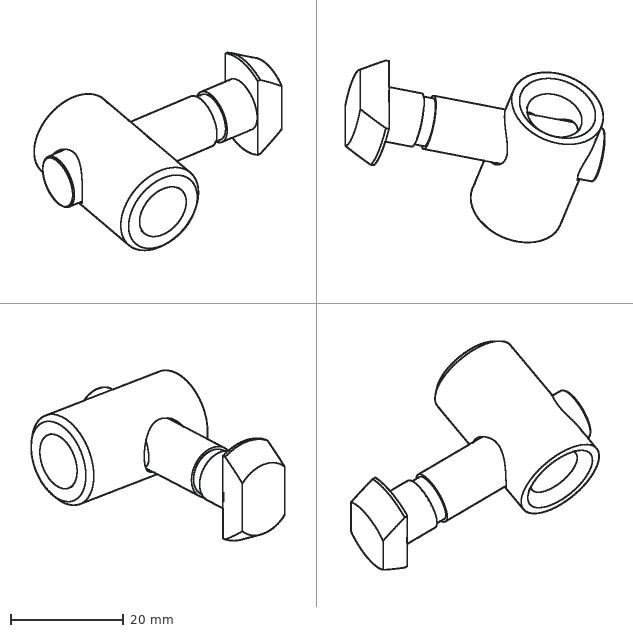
import cadquery as cq
import math

SLEEVE_LENGTH = 27.8
SLEEVE_RADIUS = 8.5
BORE_RADIUS = 5.1
END_CHAMFER = 1.0
COUNTERSINK_RADIUS = 7.05
COUNTERSINK_DEPTH = COUNTERSINK_RADIUS - BORE_RADIUS
CROSS_HOLE_RADIUS = 5.15

BOLT_X = 9.8
BOLT_LENGTH = 45.4
SHANK_RADIUS = 4.85
TAIL_PROJECTION = 1.75
TAIL_Y = -(SLEEVE_RADIUS + TAIL_PROJECTION)
HEAD_TOP_Y = TAIL_Y + BOLT_LENGTH
TAIL_CHAMFER = 0.23

HEAD_THICKNESS = 5.3
HEAD_RIM = 0.6
HEAD_RADIUS = 9.62
HEAD_TOP_RADIUS = 6.9
HEAD_WIDTH = 10.0
HEAD_BASE_Y = HEAD_TOP_Y - HEAD_THICKNESS

GROOVE_WIDTH = 2.22
GROOVE_RADIUS = 4.35
GROOVE_TO_HEAD = 6.55
GROOVE_TOP_Y = HEAD_BASE_Y - GROOVE_TO_HEAD

SEAT_OFFSET = 1.0
SEAT_EDGE_Y = 9.45
SEAT_RADIUS = SEAT_EDGE_Y - SEAT_OFFSET
SEAT_FLANK_ANGLE = 31.5
SEAT_DEPTH = SEAT_RADIUS * math.tan(math.radians(SEAT_FLANK_ANGLE))


def make_sleeve():
    """Tube with a chamfered end, a countersunk bore and a cross hole for the bolt."""
    body = cq.Workplane("YZ").circle(SLEEVE_RADIUS).extrude(SLEEVE_LENGTH)
    body = body.faces(">X").chamfer(END_CHAMFER)
    bore = cq.Workplane("YZ").circle(BORE_RADIUS).extrude(SLEEVE_LENGTH)
    countersink = cq.Solid.makeCone(
        COUNTERSINK_RADIUS, BORE_RADIUS, COUNTERSINK_DEPTH,
        pnt=cq.Vector(0, 0, 0), dir=cq.Vector(1, 0, 0),
    )
    cross_hole = (
        cq.Workplane("XZ").center(BOLT_X, 0).circle(CROSS_HOLE_RADIUS).extrude(SLEEVE_RADIUS, both=True)
    )
    return body.cut(bore).cut(countersink).cut(cross_hole)


def make_bolt_blank():
    """Turned bolt: chamfered tail, grooved shank and tapered round head."""
    profile = [
        (0, TAIL_Y),
        (SHANK_RADIUS - TAIL_CHAMFER, TAIL_Y),
        (SHANK_RADIUS, TAIL_Y + TAIL_CHAMFER),
        (SHANK_RADIUS, GROOVE_TOP_Y - GROOVE_WIDTH),
        (GROOVE_RADIUS, GROOVE_TOP_Y - GROOVE_WIDTH),
        (GROOVE_RADIUS, GROOVE_TOP_Y),
        (SHANK_RADIUS, GROOVE_TOP_Y),
        (SHANK_RADIUS, HEAD_BASE_Y),
        (HEAD_RADIUS, HEAD_BASE_Y),
        (HEAD_RADIUS, HEAD_BASE_Y + HEAD_RIM),
        (HEAD_TOP_RADIUS, HEAD_TOP_Y),
        (0, HEAD_TOP_Y),
    ]
    blank = cq.Workplane("XY").polyline(profile).close().revolve(360, (0, 0, 0), (0, 1, 0))
    return blank.translate((BOLT_X, 0, 0))


def make_bolt():
    """Bolt blank with two flats on the head and a conical seat in the shank."""
    between_flats = cq.Workplane("XY").box(HEAD_WIDTH, 2 * BOLT_LENGTH, 2 * HEAD_RADIUS)
    between_flats = between_flats.translate((BOLT_X, 0, 0))
    seat = cq.Solid.makeCone(
        SEAT_RADIUS, 0, SEAT_DEPTH,
        pnt=cq.Vector(BOLT_X + SHANK_RADIUS, SEAT_OFFSET, 0), dir=cq.Vector(-1, 0, 0),
    )
    return make_bolt_blank().intersect(between_flats).cut(seat)


sleeve = make_sleeve()
bolt = make_bolt()
result = cq.Compound.makeCompound([sleeve.solids().val(), bolt.solids().val()])